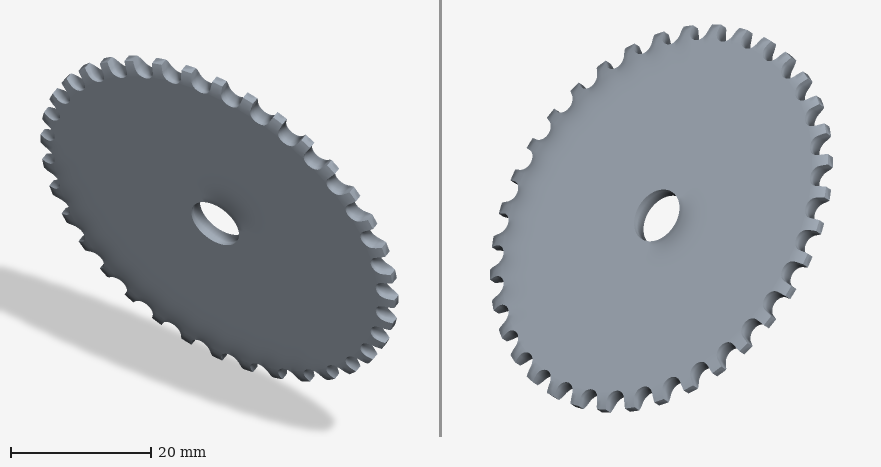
import cadquery as cq
import math


tooth_count = 36
chain_pitch = 5.0
roller_diameter = 3.2
outer_diameter = 59.5
bore_diameter = 8.0
thickness = 2.3
tip_thickness = 1.2
side_relief_start = 27.35
tip_gap = 3.5

tooth_angle = 360.0 / tooth_count
pitch_radius = chain_pitch / (2 * math.sin(math.pi / tooth_count))
roller_radius = roller_diameter / 2
outer_radius = outer_diameter / 2
half_thickness = thickness / 2
tip_half_thickness = tip_thickness / 2
cut_margin = 1.0


def make_blank():
    """Solid disc whose rim narrows to the tips along arcs tangent to the flat sides."""
    half = (
        cq.Workplane("XY")
        .moveTo(0, 0)
        .lineTo(0, half_thickness)
        .lineTo(side_relief_start, half_thickness)
        .tangentArcPoint((outer_radius, tip_half_thickness), relative=False)
        .lineTo(outer_radius, 0)
        .close()
        .revolve(360, (0, 0), (0, 1))
    )
    return half.union(half.mirror("XZ"))


def make_tooth_gap():
    """Cutter for one gap: a roller seat at the bottom with straight flanks tangent to it."""
    tip_half_gap = tip_gap / 2
    tip_height = math.sqrt(outer_radius**2 - tip_half_gap**2)
    rise = tip_height - pitch_radius

    tip_distance = math.hypot(tip_half_gap, rise)
    touch_angle = math.atan2(rise, tip_half_gap) - math.acos(roller_radius / tip_distance)
    touch_x = roller_radius * math.cos(touch_angle)
    touch_z = pitch_radius + roller_radius * math.sin(touch_angle)

    top_z = outer_radius + cut_margin
    top_x = tip_half_gap + (top_z - tip_height) * (tip_half_gap - touch_x) / (tip_height - touch_z)

    return (
        cq.Workplane("XZ")
        .moveTo(-top_x, top_z)
        .lineTo(-touch_x, touch_z)
        .threePointArc((0, pitch_radius - roller_radius), (touch_x, touch_z))
        .lineTo(top_x, top_z)
        .close()
        .extrude(half_thickness + cut_margin, both=True)
    )


def cut_tooth_gaps(body):
    """Cut the gaps half a tooth off the axes, so that a tooth points along +Z."""
    gap = make_tooth_gap()
    for index in range(tooth_count):
        angle = (index + 0.5) * tooth_angle
        body = body.cut(gap.rotate((0, 0, 0), (0, 1, 0), angle))
    return body


def cut_bore(body):
    bore = cq.Workplane("XZ").circle(bore_diameter / 2).extrude(half_thickness + cut_margin, both=True)
    return body.cut(bore)


result = cut_bore(cut_tooth_gaps(make_blank()))